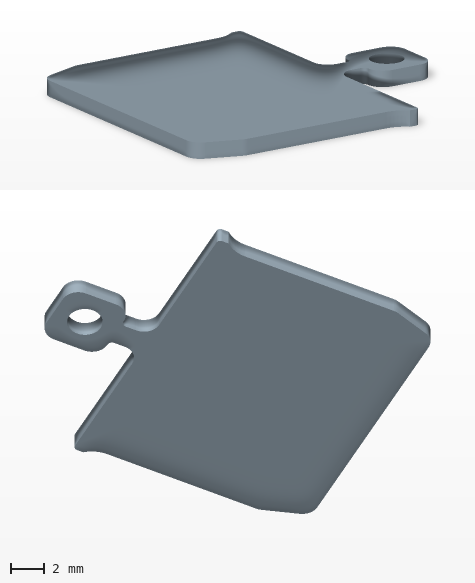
import cadquery as cq
import math

thickness = 1.0
total_length = 21.0
body_width = 18.0
body_length = 15.0

taper_inset = 1.0
taper_length = 3.0
corner_radius = 1.0

ear_span = 19.0
ear_side_end = 14.32
ear_corner_radius = 0.25
ear_flare_radius = 2.0

head_width = 4.18
head_length = 4.01
neck_width = 1.5
neck_head_fillet = 0.3
hole_diameter = 2.1
hole_from_end = 2.0

half_body = body_width / 2
half_ear = ear_span / 2
head_bottom = total_length - head_length


def box(width, y_start, y_end):
    """Plate of full thickness, centred on X and running from y_start to y_end."""
    return cq.Workplane("XY").rect(width, y_end - y_start).extrude(thickness).translate(
        (0, (y_start + y_end) / 2, 0)
    )


def round_corners(solid, x, y, radius):
    """Round the two upright edges at (-x, y) and (x, y)."""
    reach = 0.002
    for side in (-1, 1):
        corner = cq.selectors.BoxSelector(
            (side * x - reach, y - reach, -reach),
            (side * x + reach, y + reach, thickness + reach),
        )
        solid = solid.edges("|Z").edges(corner).fillet(radius)
    return solid


def make_body():
    """Body with tapered front corners and ears that flare out along concave arcs."""
    flare_out = half_ear - half_body
    flare_length = math.sqrt(ear_flare_radius**2 - (ear_flare_radius - flare_out) ** 2)
    flare_start = ear_side_end - flare_length

    mid_angle = math.asin(flare_length / ear_flare_radius) / 2
    mid_x = half_body + ear_flare_radius * (1 - math.cos(mid_angle))
    mid_y = flare_start + ear_flare_radius * math.sin(mid_angle)

    return (
        cq.Workplane("XY")
        .moveTo(half_body - taper_inset, 0)
        .lineTo(half_body, taper_length)
        .lineTo(half_body, flare_start)
        .threePointArc((mid_x, mid_y), (half_ear, ear_side_end))
        .lineTo(half_ear, body_length)
        .lineTo(-half_ear, body_length)
        .lineTo(-half_ear, ear_side_end)
        .threePointArc((-mid_x, mid_y), (-half_body, flare_start))
        .lineTo(-half_body, taper_length)
        .lineTo(-half_body + taper_inset, 0)
        .close()
        .extrude(thickness)
    )


neck = box(neck_width, body_length / 2, head_bottom + head_length / 2)
head = box(head_width, head_bottom, total_length)
result = make_body().union(neck).union(head)

result = round_corners(result, half_body - taper_inset, 0, corner_radius)
result = round_corners(result, half_body, taper_length, corner_radius)
result = round_corners(result, half_ear, body_length, ear_corner_radius)
result = round_corners(result, neck_width / 2, body_length, corner_radius)
result = round_corners(result, head_width / 2, head_bottom, corner_radius)
result = round_corners(result, neck_width / 2, head_bottom, neck_head_fillet)
result = round_corners(result, head_width / 2, total_length, corner_radius)

hole = (
    cq.Workplane("XY")
    .center(0, total_length - hole_from_end)
    .circle(hole_diameter / 2)
    .extrude(thickness)
)
result = result.cut(hole)